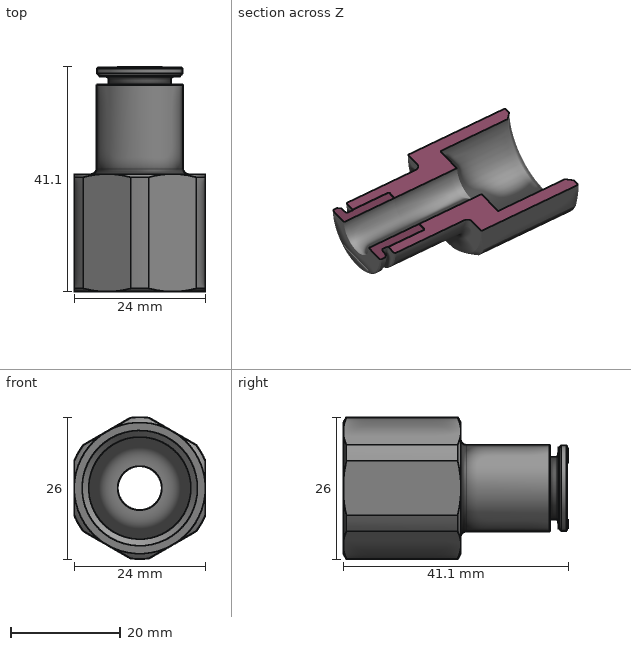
import cadquery as cq
import math


hex_across_flats = 24.0
hex_corner_diameter = 26.0
hex_length = 21.5
corner_chamfer_angle = 30.0

barrel_radius = 7.95
barrel_end = 37.9
barrel_root_fillet = 1.0
barrel_rim_chamfer = 0.2

socket_radius = 9.35
socket_mouth_radius = 10.55
socket_depth = 16.0
passage_radius = 4.0

collar_end = 41.0
collar_flange_radius = 7.85
collar_neck_radius = 5.75
collar_neck_insertion = 8.0
collar_rim_chamfer = 0.25
collar_back_chamfer = 0.4
collar_flange_thickness = 1.75
collar_back_land = 0.15
collar_back_slope = 0.1
collar_neck_fillet = 0.3

pad_height = 0.15
pad_half_width = 4.05
pad_outer_radius = 7.3
upper_pad_inner_z = 4.6
lower_pad_inner_z = 5.8

neck_start = barrel_end - collar_neck_insertion


def revolve_about_y(profile):
    """Turn a closed (radius, y) profile drawn in the XY plane about the Y axis."""
    return profile.close().revolve(360, (0, 0, 0), (0, 1, 0))


def cylinder_y(radius, start, end):
    """Cylinder on the Y axis from y = start to y = end."""
    return cq.Workplane("XZ", origin=(0, start, 0)).circle(radius).extrude(start - end)


def make_hexagon():
    """Hexagon with flats at +X and -X, its corners rounded and chamfered at both ends."""
    flat_radius = hex_across_flats / 2
    corner_radius = hex_corner_diameter / 2
    chamfer_length = (corner_radius - flat_radius) * math.tan(math.radians(corner_chamfer_angle))
    point_diameter = hex_across_flats / math.cos(math.radians(30))
    prism = (
        cq.Workplane("XZ")
        .transformed(rotate=(0, 0, 90))
        .polygon(6, point_diameter)
        .extrude(-hex_length)
    )
    turned_envelope = revolve_about_y(
        cq.Workplane("XY")
        .moveTo(0, 0)
        .lineTo(flat_radius, 0)
        .lineTo(corner_radius, chamfer_length)
        .lineTo(corner_radius, hex_length - chamfer_length)
        .lineTo(flat_radius, hex_length)
        .lineTo(0, hex_length)
    )
    return prism.intersect(turned_envelope)


def make_barrel():
    """Turned barrel with a flared root on the hexagon; it starts at the socket floor."""
    flare_radius = barrel_radius + barrel_root_fillet
    return revolve_about_y(
        cq.Workplane("XY")
        .moveTo(0, socket_depth)
        .lineTo(flare_radius, socket_depth)
        .lineTo(flare_radius, hex_length)
        .radiusArc((barrel_radius, hex_length + barrel_root_fillet), barrel_root_fillet)
        .lineTo(barrel_radius, barrel_end - barrel_rim_chamfer)
        .lineTo(barrel_radius - barrel_rim_chamfer, barrel_end)
        .lineTo(0, barrel_end)
    )


def make_socket_cutter():
    """Socket bore with a 45 degree chamfer at its mouth."""
    return revolve_about_y(
        cq.Workplane("XY")
        .moveTo(0, 0)
        .lineTo(socket_mouth_radius, 0)
        .lineTo(socket_radius, socket_mouth_radius - socket_radius)
        .lineTo(socket_radius, socket_depth)
        .lineTo(0, socket_depth)
    )


def make_housing():
    passage = cylinder_y(passage_radius, 0, barrel_end)
    collar_recess = cylinder_y(collar_neck_radius, neck_start, barrel_end)
    return (
        make_hexagon()
        .union(make_barrel())
        .cut(make_socket_cutter())
        .cut(passage)
        .cut(collar_recess)
    )


def make_pad(side, inner_z):
    """Raised pad bounded by a flat inner edge and an arc; side is +1 for +Z and -1 for -Z."""
    side_z = math.sqrt(pad_outer_radius ** 2 - pad_half_width ** 2)
    return (
        cq.Workplane("XZ", origin=(0, collar_end, 0))
        .moveTo(-pad_half_width, side * inner_z)
        .lineTo(-pad_half_width, side * side_z)
        .threePointArc((0, side * pad_outer_radius), (pad_half_width, side * side_z))
        .lineTo(pad_half_width, side * inner_z)
        .close()
        .extrude(-pad_height)
    )


def make_collar():
    """Release collar: bored neck, flange and the raised pads on its end face."""
    flange_back = collar_end - collar_flange_thickness
    land_radius = collar_flange_radius - collar_back_chamfer
    land_start = flange_back + collar_back_slope
    land_end = land_start + collar_back_land
    neck_fillet_radius = collar_neck_radius + collar_neck_fillet
    ring = revolve_about_y(
        cq.Workplane("XY")
        .moveTo(passage_radius, neck_start)
        .lineTo(collar_neck_radius, neck_start)
        .lineTo(collar_neck_radius, flange_back - collar_neck_fillet)
        .radiusArc((neck_fillet_radius, flange_back), collar_neck_fillet)
        .lineTo(land_radius, land_start)
        .lineTo(land_radius, land_end)
        .lineTo(collar_flange_radius, land_end + collar_back_chamfer)
        .lineTo(collar_flange_radius, collar_end - collar_rim_chamfer)
        .lineTo(collar_flange_radius - collar_rim_chamfer, collar_end)
        .lineTo(passage_radius, collar_end)
    )
    upper_pad = make_pad(1, upper_pad_inner_z)
    lower_pad = make_pad(-1, lower_pad_inner_z)
    return ring.union(upper_pad).union(lower_pad)


housing = make_housing()
collar = make_collar()

result = cq.Compound.makeCompound([housing.val(), collar.val()])